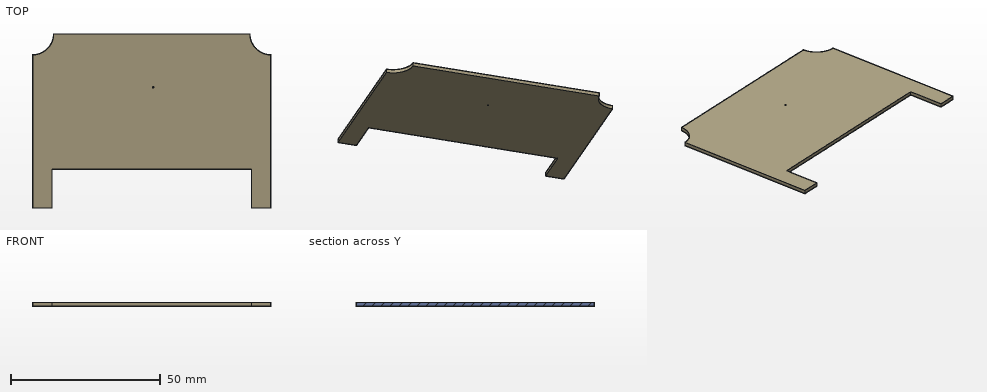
import cadquery as cq

width = 80.0
depth = 58.5
thickness = 1.3

corner_radius = 7.0

leg_width = 6.6
leg_length = 13.0

hole_diameter = 0.4
hole_from_left = 40.5
hole_from_front = 40.5

plate = cq.Workplane("XY").box(width, depth, thickness, centered=False)

notch = cq.Workplane("XY").box(
    width - 2 * leg_width, leg_length, thickness, centered=False
).translate((leg_width, 0, 0))

corner_cuts = (
    cq.Workplane("XY")
    .pushPoints([(0, depth), (width, depth)])
    .circle(corner_radius)
    .extrude(thickness)
)

hole = (
    cq.Workplane("XY")
    .center(hole_from_left, hole_from_front)
    .circle(hole_diameter / 2)
    .extrude(thickness)
)

result = plate.cut(notch).cut(corner_cuts).cut(hole)